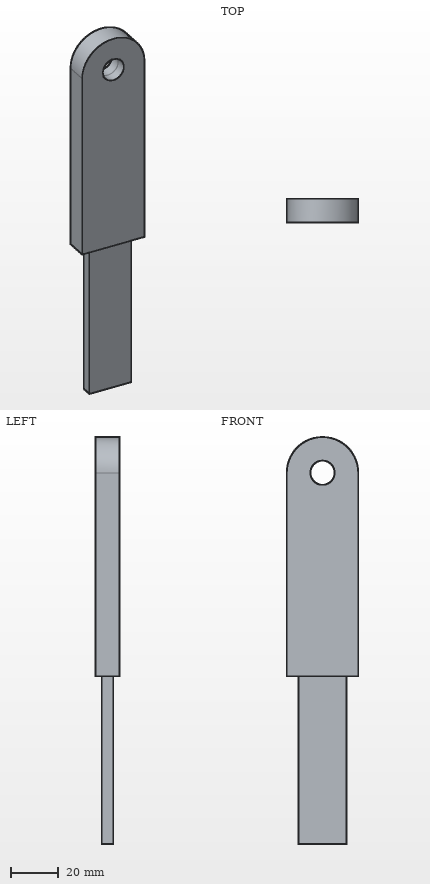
import cadquery as cq

total_length = 170.0
handle_width = 30.0
handle_thickness = 10.0
tang_length = 70.0
tang_width = 20.0
tang_thickness = 5.0
hole_diameter = 10.0

end_radius = handle_width / 2
hole_height = total_length - end_radius


def make_handle():
    """Flat bar with a full-round top end."""
    return (
        cq.Workplane("XZ")
        .moveTo(-end_radius, tang_length)
        .lineTo(end_radius, tang_length)
        .lineTo(end_radius, hole_height)
        .threePointArc((0, total_length), (-end_radius, hole_height))
        .close()
        .extrude(handle_thickness / 2, both=True)
    )


def make_tang():
    """Narrower, thinner bar centred below the handle."""
    return cq.Workplane("XY").rect(tang_width, tang_thickness).extrude(tang_length)


def make_hole():
    """Through hole concentric with the rounded end."""
    return (
        cq.Workplane("XZ")
        .center(0, hole_height)
        .circle(hole_diameter / 2)
        .extrude(handle_thickness, both=True)
    )


result = make_handle().union(make_tang()).cut(make_hole())